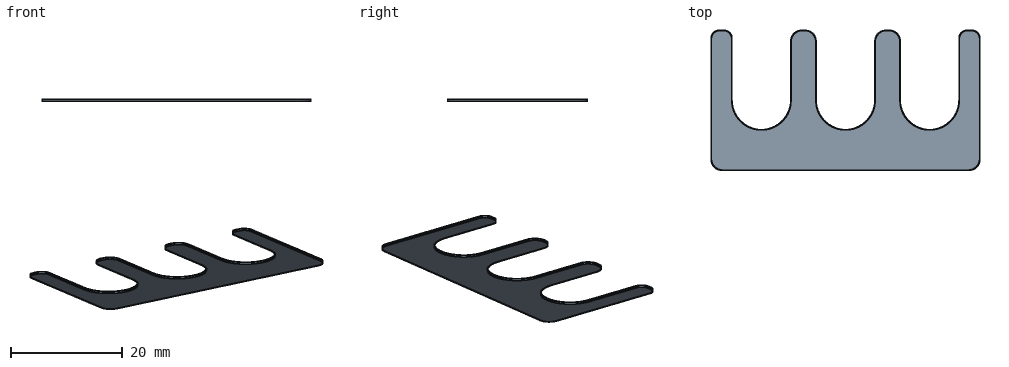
import cadquery as cq

length = 48.0
depth = 25.0
thickness = 0.38

slot_count = 3
slot_width = 10.5
inner_finger_width = 4.5
slot_pitch = slot_width + inner_finger_width
slot_radius = slot_width / 2
web_depth = 7.25

base_corner_radius = 2.0
inner_tip_radius = 2.0
outer_tip_radius = 1.5

front_y = depth / 2
back_y = -depth / 2
slot_center_y = back_y + web_depth + slot_radius
slot_centers_x = [(i - (slot_count - 1) / 2) * slot_pitch for i in range(slot_count)]
outer_slot_edge = slot_centers_x[-1] + slot_radius


def slot_cutter(center_x):
    """Slot that ends in a half circle and is open at the finger tips."""
    return (
        cq.Workplane("XY")
        .moveTo(center_x - slot_radius, front_y)
        .lineTo(center_x - slot_radius, slot_center_y)
        .threePointArc((center_x, slot_center_y - slot_radius), (center_x + slot_radius, slot_center_y))
        .lineTo(center_x + slot_radius, front_y)
        .close()
        .extrude(thickness)
    )


def round_corners(body, points, radius):
    """Fillet the vertical edges that stand at the given XY points."""
    for x, y in points:
        corner = cq.selectors.NearestToPointSelector((x, y, thickness / 2))
        body = body.edges("|Z").edges(corner).fillet(radius)
    return body


plate = cq.Workplane("XY").box(length, depth, thickness, centered=(True, True, False))
for slot_x in slot_centers_x:
    plate = plate.cut(slot_cutter(slot_x))

base_corners = [(side * length / 2, back_y) for side in (-1, 1)]
outer_tip_corners = [(side * x, front_y) for side in (-1, 1) for x in (length / 2, outer_slot_edge)]
inner_tip_corners = [
    (left_x + offset, front_y)
    for left_x in slot_centers_x[:-1]
    for offset in (slot_radius, slot_pitch - slot_radius)
]

plate = round_corners(plate, base_corners, base_corner_radius)
plate = round_corners(plate, outer_tip_corners, outer_tip_radius)
result = round_corners(plate, inner_tip_corners, inner_tip_radius)